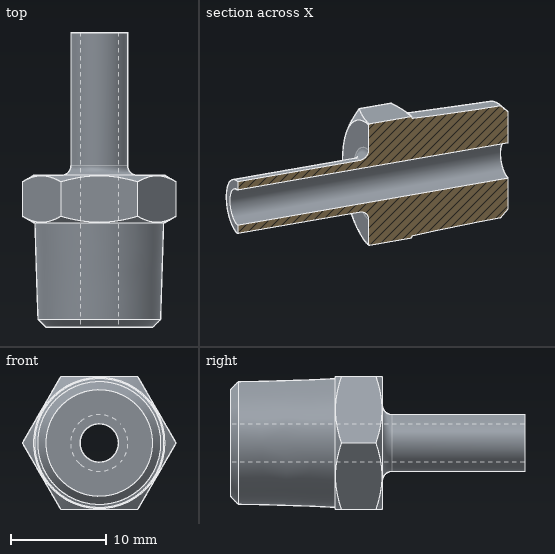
import cadquery as cq
import math

thread_length = 11.0
hex_thickness = 5.0
neck_length = 1.0
total_length = 31.0
hex_start = thread_length
hex_end = hex_start + hex_thickness
neck_end = hex_end + neck_length

thread_taper = 1 / 16
thread_base_radius = 6.78
end_chamfer_length = 0.85
end_face_radius = 5.6
thread_tip_radius = thread_base_radius - (thread_length - end_chamfer_length) * thread_taper / 2

across_flats = 14.0
across_corners = across_flats / math.cos(math.radians(30))
hex_chamfer_angle = 30.0
hex_face_radius = 6.9

tube_radius = 3.0
bore_diameter = 4.0


def revolve_about_y(profile):
    """Turn a closed (radius, y) profile around the Y axis."""
    return profile.close().revolve(360, (0, 0, 0), (0, 1, 0))


def make_thread():
    return revolve_about_y(
        cq.Workplane("XY")
        .moveTo(0, 0)
        .lineTo(end_face_radius, 0)
        .lineTo(thread_tip_radius, end_chamfer_length)
        .lineTo(thread_base_radius, hex_start)
        .lineTo(0, hex_start)
    )


def make_hexagon():
    """Hexagon with corners on the X axis, its corners turned down at both faces."""
    prism = (
        cq.Workplane("XZ", origin=(0, hex_start, 0))
        .polygon(6, across_corners)
        .extrude(-hex_thickness)
    )
    corner_radius = across_corners / 2
    chamfer_depth = (corner_radius - hex_face_radius) * math.tan(math.radians(hex_chamfer_angle))
    turned_blank = revolve_about_y(
        cq.Workplane("XY")
        .moveTo(0, hex_start)
        .lineTo(hex_face_radius, hex_start)
        .lineTo(corner_radius, hex_start + chamfer_depth)
        .lineTo(corner_radius, hex_end - chamfer_depth)
        .lineTo(hex_face_radius, hex_end)
        .lineTo(0, hex_end)
    )
    return prism.intersect(turned_blank)


def make_tube():
    """Plain tube stub with a concave quarter-round where it leaves the hexagon."""
    arc_offset = neck_length * (1 - math.sqrt(0.5))
    return revolve_about_y(
        cq.Workplane("XY")
        .moveTo(0, hex_end)
        .lineTo(tube_radius + neck_length, hex_end)
        .threePointArc(
            (tube_radius + arc_offset, hex_end + arc_offset),
            (tube_radius, neck_end),
        )
        .lineTo(tube_radius, total_length)
        .lineTo(0, total_length)
    )


def make_bore():
    return cq.Workplane("XZ").circle(bore_diameter / 2).extrude(-total_length)


result = make_thread().union(make_hexagon()).union(make_tube()).cut(make_bore())